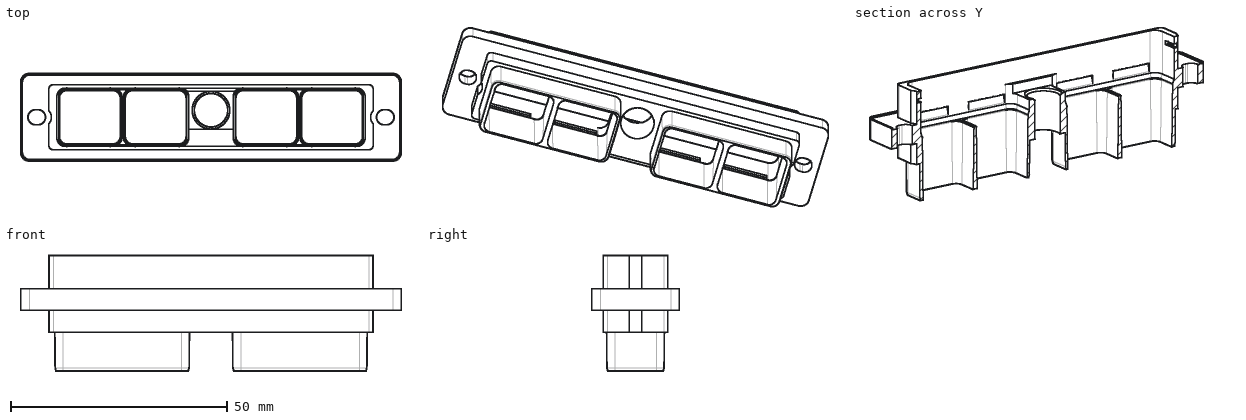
import math

import cadquery as cq

HEIGHT = 26.69
POD_HEIGHT = 8.95
FLANGE_BOTTOM = 14.0
FLANGE_TOP = 19.05
BLOCK_TOP = 21.15
SHELF_TOP = 18.9
TAPER_TOP = 16.4
TAPER_BOTTOM = 15.3

FLANGE_LENGTH = 87.89
FLANGE_WIDTH = 20.29
FLANGE_RADIUS = 2.0
RIM_WIDTH = 0.4
RIM_HEIGHT = 0.3
SLOT_SPACING = 80.5
SLOT_LENGTH = 4.0
SLOT_WIDTH = 3.4

SHELL_LENGTH = 74.9
SHELL_WIDTH = 15.0
SHELL_RADIUS = 1.0
SCALLOP_DEPTH = 0.6
SCALLOP_WIDTH = 2.95

POD_INNER_X = 4.95
POD_OUTER_X = 36.1
POD_WIDTH = 13.4
POD_RADIUS = 1.9
POD_DRAFT = 0.5
POD_EDGE_HEIGHT = 0.8
POD_EDGE_INSET = 0.2

CAVITY_OUTER_X = 35.6
CAVITY_WIDTH = 13.5
CAVITY_RADIUS = 2.0
BLOCK_HALF_LENGTH = 5.15
TAPER_INSET = 0.4
RIB_WIDTH = 0.8
WINDOW_INSET = 0.22
WINDOW_RADIUS = 1.8
RIB_BEVEL = 0.25

CHANNEL_FRONT_Y = -2.8
CHANNEL_BACK_Y = 6.05
BORE_DIAMETER = 7.7
BORE_CHAMFER = 0.5

NOTCH_LENGTH = 10.1
NOTCH_OFFSET = 7.95
NOTCH_BOTTOM = 16.9
NOTCH_TOP = 18.8
NOTCH_DEPTH = 0.5
END_GROOVE_LENGTH = 6.8
END_GROOVE_BOTTOM = 23.9
END_GROOVE_HEIGHT = 0.9
END_GROOVE_DEPTH = 0.8

POCKET_CENTER_X = (BLOCK_HALF_LENGTH + CAVITY_OUTER_X) / 2
POCKET_LENGTH = CAVITY_OUTER_X - BLOCK_HALF_LENGTH
WELL_LENGTH = POCKET_LENGTH - 2 * TAPER_INSET
WELL_WIDTH = CAVITY_WIDTH - 2 * TAPER_INSET
WINDOW_LENGTH = (WELL_LENGTH - RIB_WIDTH) / 2
WINDOW_OFFSET = (WINDOW_LENGTH + RIB_WIDTH) / 2
SIDES = (-1, 1)


def paired_positions(offset):
    """X positions at plus and minus `offset` from the centre of each pocket."""
    return [side * POCKET_CENTER_X + step * offset for side in SIDES for step in SIDES]


def rounded_box(length, width, radius, bottom, top, center_x=0):
    """Upright prism with rounded vertical edges."""
    box = cq.Workplane("XY").box(length, width, top - bottom, centered=(True, True, False))
    return box.edges("|Z").fillet(radius).translate((center_x, 0, bottom))


def flared_box(length, width, radius, bottom, top, flare, center_x):
    """Rounded prism whose walls lean outwards by `flare` from bottom to top."""
    draft = math.degrees(math.atan(flare / (top - bottom)))
    outline = cq.Sketch().rect(length, width).vertices().fillet(radius)
    flared = cq.Workplane("XY").placeSketch(outline).extrude(top - bottom, taper=-draft)
    return flared.translate((center_x, 0, bottom))


def flange():
    body = rounded_box(FLANGE_LENGTH, FLANGE_WIDTH, FLANGE_RADIUS, FLANGE_BOTTOM, FLANGE_TOP)
    recess = rounded_box(
        FLANGE_LENGTH - 2 * RIM_WIDTH,
        FLANGE_WIDTH - 2 * RIM_WIDTH,
        FLANGE_RADIUS - RIM_WIDTH,
        FLANGE_TOP - RIM_HEIGHT,
        FLANGE_TOP,
    )
    slots = (
        cq.Workplane("XY")
        .pushPoints([(side * SLOT_SPACING / 2, 0) for side in SIDES])
        .slot2D(SLOT_LENGTH, SLOT_WIDTH)
        .extrude(FLANGE_TOP)
    )
    return body.cut(recess).cut(slots)


def shell():
    body = rounded_box(SHELL_LENGTH, SHELL_WIDTH, SHELL_RADIUS, POD_HEIGHT, HEIGHT)
    radius = ((SCALLOP_WIDTH / 2) ** 2 + SCALLOP_DEPTH**2) / (2 * SCALLOP_DEPTH)
    center_x = SHELL_LENGTH / 2 - SCALLOP_DEPTH + radius
    scallops = (
        cq.Workplane("XY")
        .pushPoints([(side * center_x, 0) for side in SIDES])
        .circle(radius)
        .extrude(HEIGHT)
    )
    return body.cut(scallops)


def pod(side):
    """Solid pod, drafted towards its underside, with a bevelled bottom edge."""
    outline = (
        cq.Sketch().rect(POD_OUTER_X - POD_INNER_X, POD_WIDTH).vertices().fillet(POD_RADIUS)
    )
    body = (
        cq.Workplane("XY", origin=(0, 0, POD_HEIGHT))
        .placeSketch(outline)
        .extrude(-POD_HEIGHT, taper=POD_DRAFT)
        .faces("<Z")
        .chamfer(POD_EDGE_HEIGHT, POD_EDGE_INSET)
    )
    return body.translate((side * (POD_INNER_X + POD_OUTER_X) / 2, 0, 0))


def pocket(side):
    """Pocket beside the centre block: straight, then tapering in to the windows."""
    center_x = side * POCKET_CENTER_X
    straight = rounded_box(
        POCKET_LENGTH, CAVITY_WIDTH, CAVITY_RADIUS, TAPER_TOP, HEIGHT, center_x
    )
    taper = flared_box(
        WELL_LENGTH, WELL_WIDTH, CAVITY_RADIUS - TAPER_INSET,
        TAPER_BOTTOM, TAPER_TOP, TAPER_INSET, center_x,
    )
    return straight.union(taper)


def window(center_x):
    """Through opening that narrows slightly towards the underside."""
    return flared_box(
        WINDOW_LENGTH - 2 * WINDOW_INSET, WELL_WIDTH - 2 * WINDOW_INSET,
        WINDOW_RADIUS - WINDOW_INSET, 0, TAPER_BOTTOM - RIB_BEVEL, WINDOW_INSET, center_x,
    )


def window_mouth(center_x):
    """Bevel from the rib top into a window, kept inside the pocket walls."""
    flare = flared_box(
        WINDOW_LENGTH, WELL_WIDTH, WINDOW_RADIUS,
        TAPER_BOTTOM - RIB_BEVEL, TAPER_BOTTOM, RIB_BEVEL, center_x,
    )
    well = rounded_box(
        WELL_LENGTH, WELL_WIDTH, CAVITY_RADIUS - TAPER_INSET, 0, TAPER_BOTTOM,
        math.copysign(POCKET_CENTER_X, center_x),
    )
    return flare.intersect(well)


def center_channel():
    """Channel along the top of the centre block, with a chamfered bore through its floor."""
    center_y = (CHANNEL_FRONT_Y + CHANNEL_BACK_Y) / 2
    channel = cq.Workplane("XY").box(
        2 * (BLOCK_HALF_LENGTH + CAVITY_RADIUS),
        CHANNEL_BACK_Y - CHANNEL_FRONT_Y,
        BLOCK_TOP - SHELF_TOP,
        centered=(True, True, False),
    ).translate((0, center_y, SHELF_TOP))
    radius = BORE_DIAMETER / 2
    bore = cq.Workplane("XY").circle(radius).extrude(SHELF_TOP)
    countersink = cq.Workplane("XY").add(
        cq.Solid.makeCone(
            radius, radius + BORE_CHAMFER, BORE_CHAMFER,
            pnt=cq.Vector(0, 0, SHELF_TOP - BORE_CHAMFER),
        )
    )
    return channel.union(bore.union(countersink).translate((0, center_y, 0)))


def latch_notch(center_x):
    """Wedge notches, deepest at the top, in both long walls above one window."""
    wall = CAVITY_WIDTH / 2
    wedge = (
        cq.Workplane("YZ")
        .moveTo(0, NOTCH_BOTTOM)
        .lineTo(wall, NOTCH_BOTTOM)
        .lineTo(wall + NOTCH_DEPTH, NOTCH_TOP)
        .lineTo(0, NOTCH_TOP)
        .close()
        .extrude(NOTCH_LENGTH / 2, both=True)
    )
    return wedge.union(wedge.mirror("XZ")).translate((center_x, 0, 0))


def end_grooves():
    """Horizontal grooves in the two end walls of the cavity."""
    return cq.Workplane("XY").box(
        2 * (CAVITY_OUTER_X + END_GROOVE_DEPTH),
        END_GROOVE_LENGTH,
        END_GROOVE_HEIGHT,
        centered=(True, True, False),
    ).translate((0, 0, END_GROOVE_BOTTOM))


result = flange().union(shell())
for side in SIDES:
    result = result.union(pod(side))

result = result.cut(
    rounded_box(2 * CAVITY_OUTER_X, CAVITY_WIDTH, CAVITY_RADIUS, BLOCK_TOP, HEIGHT)
)
for side in SIDES:
    result = result.cut(pocket(side))
for window_x in paired_positions(WINDOW_OFFSET):
    result = result.cut(window(window_x)).cut(window_mouth(window_x))
for notch_x in paired_positions(NOTCH_OFFSET):
    result = result.cut(latch_notch(notch_x))
result = result.cut(center_channel()).cut(end_grooves())